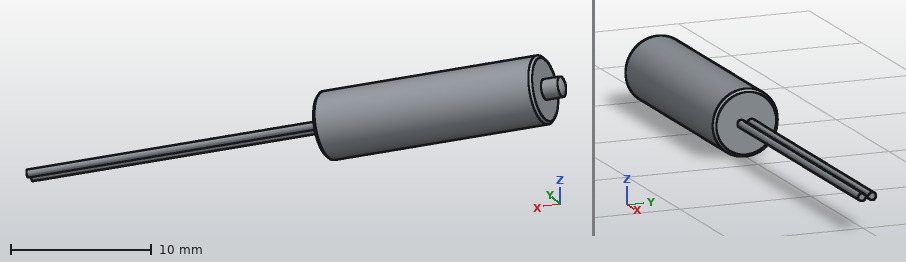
import cadquery as cq
import math

total_length = 41.5

body_diameter = 5.0
body_length = 17.0
body_edge_chamfer = 0.2

pin_diameter = 1.5
pin_length = 1.5
dome_height = 0.2

wire_diameter = 0.6
wire_spacing = 0.8
web_blend_radius = 0.15
wire_length = total_length - pin_length - body_length

body_end = body_length


def make_body():
    """Cylinder along X with both rims chamfered."""
    cylinder = cq.Workplane("YZ").circle(body_diameter / 2).extrude(body_length)
    return cylinder.faces("<X or >X").chamfer(body_edge_chamfer)


def make_pin():
    """Revolved pin whose tip is a shallow spherical cap."""
    radius = pin_diameter / 2
    rim_x = dome_height - pin_length
    dome_radius = (radius**2 + dome_height**2) / (2 * dome_height)
    mid_y = radius / 2
    mid_x = -pin_length + dome_radius - math.sqrt(dome_radius**2 - mid_y**2)
    return (
        cq.Workplane("XY")
        .moveTo(0, 0)
        .lineTo(-pin_length, 0)
        .threePointArc((mid_x, mid_y), (rim_x, radius))
        .lineTo(0, radius)
        .close()
        .revolve(360, (0, 0, 0), (1, 0, 0))
    )


def make_twin_lead():
    """Dumbbell section: two wire arcs joined by concave arcs tangent to both."""
    radius = wire_diameter / 2
    half_spacing = wire_spacing / 2
    center_distance = radius + web_blend_radius
    blend_center_z = math.sqrt(center_distance**2 - half_spacing**2)
    web_half_thickness = blend_center_z - web_blend_radius
    tangent_y = half_spacing * web_blend_radius / center_distance
    tangent_z = blend_center_z * radius / center_distance
    outer_y = half_spacing + radius
    return (
        cq.Workplane("YZ")
        .workplane(offset=body_end)
        .moveTo(-tangent_y, tangent_z)
        .threePointArc((0, web_half_thickness), (tangent_y, tangent_z))
        .threePointArc((outer_y, 0), (tangent_y, -tangent_z))
        .threePointArc((0, -web_half_thickness), (-tangent_y, -tangent_z))
        .threePointArc((-outer_y, 0), (-tangent_y, tangent_z))
        .close()
        .extrude(wire_length)
    )


result = make_body().union(make_pin()).union(make_twin_lead())